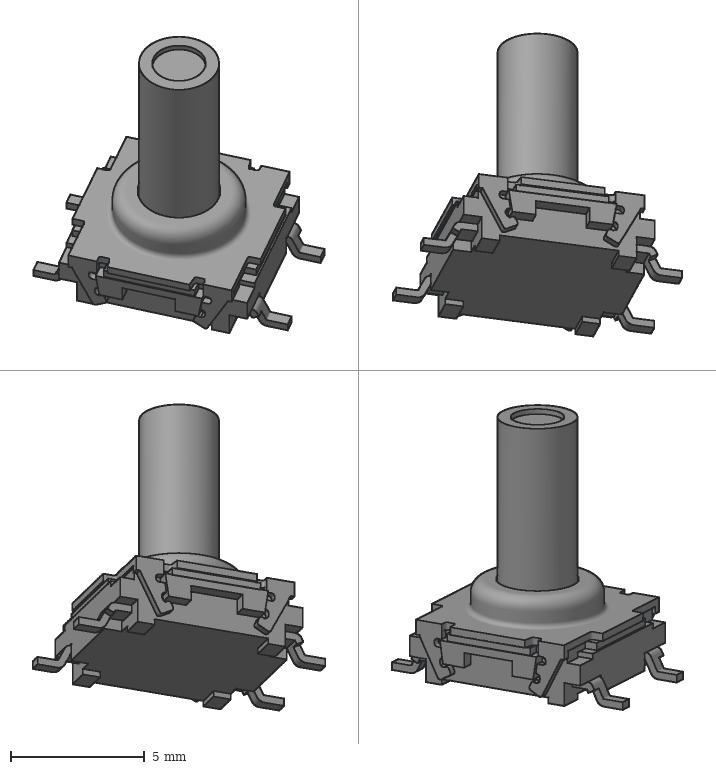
import cadquery as cq
import math

total_height = 10.1
foot_bottom = 0.08
body_bottom = 0.3
corner_notch_top = 0.99
ledge_top = 1.79
body_top = 2.0
cover_bottom = 2.29
cover_thickness = 0.3
cover_top = cover_bottom + cover_thickness
boss_top = 3.76

body_half_x = 7.4 / 2
body_half_y = 3.15
core_half_x = 3.13
ledge_start_y = 2.23
ledge_relief_depth = 0.12
ledge_relief_width = 0.13
corner_notch_x = 3.0
corner_notch_y = 1.62
foot_inner_x = 2.3
foot_inner_y = 2.14
cross_half_length = 3.62
cross_half_width = 1.8

catch_half_y = 3.67
catch_top_half = 2.09
catch_bottom_half = 1.95
catch_bottom = 1.09
catch_recess_half = 1.04
catch_recess_top = 1.68

cover_half_x = 3.21
cover_half_y = 3.52
tongue_reach = body_half_x
side_tongue_half = 1.5
end_tongue_tip_half = 1.62
end_tongue_root_half = 1.68
leg_inner_x = 2.09
leg_inner_y = cover_half_y - cover_thickness
corner_radius = 0.1
leg_shoulder_z = 2.02
relief_slot_end_x = 2.41
relief_slot_radius = 0.15

lead_tip_x = 5.0
lead_thickness = 0.3
lead_inner_y = 1.76
lead_narrow_width = 0.48
lead_wide_width = 0.81
lead_slope = math.radians(63)
lead_knee_x = 3.82
lead_inner_bend = 0.05
lead_lower_bend = lead_inner_bend + lead_thickness
lead_upper_bend = 0.27
lead_wide_drop = 0.3

boss_radius = 5.0 / 2
boss_top_fillet = 0.5
boss_base_flare = 0.2
boss_bore_radius = 3.1 / 2
stem_radius = 3.0 / 2
stem_recess_radius = 2.0 / 2
stem_recess_depth = 0.2

SIGNS = (-1, 1)


def block(x_range, y_range, z_range):
    """Box between the given limits along each axis."""
    spans = (x_range, y_range, z_range)
    sizes = [high - low for low, high in spans]
    return cq.Workplane("XY").box(*sizes, centered=False).translate(tuple(low for low, high in spans))


def centred_block(half_x, half_y, z_range):
    return block((-half_x, half_x), (-half_y, half_y), z_range)


def mirrored_pair(shape, plane):
    return shape.union(shape.mirror(plane))


def four_corners(shape):
    """Copies of a shape in all four XY quadrants."""
    return mirrored_pair(mirrored_pair(shape, "YZ"), "XZ")


def front_extrusion(sketch, y_near, y_far):
    """Extrude an XZ sketch so that it fills y_near to y_far on the +Y side."""
    return sketch.extrude(-(y_far - y_near)).translate((0, y_near, 0))


def fillet_near(shape, points, radius):
    """Fillet the edges whose midpoints lie nearest to the given points."""
    for point in points:
        shape = shape.edges(cq.NearestToPointSelector(point)).fillet(radius)
    return shape


def make_body():
    body = centred_block(body_half_x, body_half_y, (body_bottom, body_top))

    ledge_cut = block(
        (core_half_x, body_half_x), (ledge_start_y, body_half_y), (ledge_top, body_top)
    )
    ledge_relief = block(
        (core_half_x - ledge_relief_depth, core_half_x),
        (ledge_start_y, ledge_start_y + ledge_relief_width),
        (ledge_top, body_top),
    )
    ledge_cut = ledge_cut.union(ledge_relief)
    corner_cut = block(
        (corner_notch_x, body_half_x), (corner_notch_y, body_half_y), (body_bottom, corner_notch_top)
    )
    foot = block(
        (foot_inner_x, corner_notch_x), (foot_inner_y, body_half_y), (foot_bottom, body_bottom)
    )
    body = body.cut(four_corners(ledge_cut)).cut(four_corners(corner_cut)).union(four_corners(foot))

    pad_heights = (body_top, cover_bottom)
    body = body.union(centred_block(core_half_x, body_half_y, pad_heights))
    body = body.union(centred_block(cross_half_length, cross_half_width, pad_heights))
    return body.union(centred_block(cross_half_width, cross_half_length, pad_heights))


def make_catches():
    outline = cq.Workplane("XZ").polyline([
        (-catch_top_half, body_top),
        (catch_top_half, body_top),
        (catch_bottom_half, catch_bottom),
        (-catch_bottom_half, catch_bottom),
    ]).close()
    catch = front_extrusion(outline, body_half_y, catch_half_y)
    recess = block(
        (-catch_recess_half, catch_recess_half),
        (body_half_y, catch_half_y),
        (catch_bottom, catch_recess_top),
    )
    return mirrored_pair(catch.cut(recess), "XZ")


def make_cover_plate():
    heights = (cover_bottom, cover_top)
    plate = centred_block(cover_half_x, cover_half_y, heights)
    plate = plate.union(centred_block(tongue_reach, side_tongue_half, heights))
    plate = plate.union(centred_block(end_tongue_root_half, tongue_reach, heights))

    relief = cq.Workplane("XY").workplane(offset=cover_bottom).polyline([
        (end_tongue_root_half, leg_inner_y),
        (leg_inner_x, leg_inner_y),
        (leg_inner_x, tongue_reach),
        (end_tongue_tip_half, tongue_reach),
    ]).close().extrude(cover_thickness)
    relief = relief.edges("|Z and <Y").fillet(corner_radius)
    plate = plate.cut(four_corners(relief))

    mid_z = (cover_bottom + cover_top) / 2
    tongue_corners = [
        (x * cover_half_x, y * side_tongue_half, mid_z) for x in SIGNS for y in SIGNS
    ]
    return fillet_near(plate, tongue_corners, corner_radius)


def make_clip_legs():
    """Slanted legs folded down from the cover, each ending in a hooked foot."""
    shoulder = (3.07, leg_shoulder_z)
    heel = (2.21, 0.37)
    toe = (1.68, 0.66)
    hook_tip = (1.82, 0.98)
    hook_root = (2.0, 0.92)
    bay_side = (2.17, 1.13)
    bay_top = (1.99, 1.31)

    outline = (
        cq.Workplane("XZ")
        .moveTo(leg_inner_x, cover_bottom)
        .lineTo(cover_half_x, cover_bottom)
        .lineTo(cover_half_x, leg_shoulder_z)
        .lineTo(*shoulder)
        .lineTo(*heel)
        .lineTo(*toe)
        .lineTo(*hook_tip)
        .lineTo(*hook_root)
        .threePointArc(bay_side, bay_top)
        .lineTo(leg_inner_x, body_top)
        .close()
    )
    leg = front_extrusion(outline, leg_inner_y, cover_half_y)
    mid_y = (leg_inner_y + cover_half_y) / 2
    rounded_corners = [(x, mid_y, z) for x, z in (heel, toe, hook_tip)]
    leg = fillet_near(leg, rounded_corners, corner_radius)

    slot = block(
        (catch_bottom_half, relief_slot_end_x),
        (leg_inner_y, cover_half_y),
        (catch_recess_top, body_top),
    ).edges("|Y and >X").fillet(relief_slot_radius)
    return four_corners(leg.cut(slot))


def make_leads():
    top_z = corner_notch_top
    slope_run = (top_z - lead_thickness) / math.tan(lead_slope)
    corner_shift = lead_thickness * math.tan(lead_slope / 2)
    upper_outer = (lead_knee_x, top_z)
    lower_inner = (lead_knee_x + slope_run, lead_thickness)
    upper_inner = (lead_knee_x - corner_shift, top_z - lead_thickness)
    lower_outer = (lower_inner[0] - corner_shift, 0)
    outline = cq.Workplane("XZ").polyline([
        (corner_notch_x, top_z),
        upper_outer,
        lower_inner,
        (lead_tip_x, lead_thickness),
        (lead_tip_x, 0),
        lower_outer,
        upper_inner,
        (corner_notch_x, top_z - lead_thickness),
    ]).close()
    lead = front_extrusion(outline, lead_inner_y, lead_inner_y + lead_wide_width)
    mid_y = lead_inner_y + lead_wide_width / 2
    bends = (
        (upper_outer, lead_upper_bend),
        (lower_outer, lead_lower_bend),
        (lower_inner, lead_inner_bend),
    )
    for (x, z), radius in bends:
        lead = fillet_near(lead, [(x, mid_y, z)], radius)

    cut_x = lead_knee_x + lead_wide_drop / math.tan(lead_slope)
    cut_length = 2.02
    narrowing = block(
        (0, cut_length),
        (lead_inner_y + lead_narrow_width, lead_inner_y + lead_wide_width),
        (-cut_length / 2, cut_length / 2),
    )
    narrowing = narrowing.rotate((0, 0, 0), (0, 1, 0), math.degrees(lead_slope))
    narrowing = narrowing.translate((cut_x, 0, top_z - lead_wide_drop))
    return four_corners(lead.cut(narrowing))


def make_boss_and_stem():
    diagonal = math.sqrt(0.5)
    flare_radius = boss_radius + boss_base_flare
    flare_top = cover_top + boss_base_flare
    shoulder_radius = boss_radius - boss_top_fillet
    shoulder_z = boss_top - boss_top_fillet
    boss = (
        cq.Workplane("XZ")
        .moveTo(boss_bore_radius, cover_top)
        .lineTo(flare_radius, cover_top)
        .threePointArc(
            (flare_radius - boss_base_flare * diagonal, flare_top - boss_base_flare * diagonal),
            (boss_radius, flare_top),
        )
        .lineTo(boss_radius, shoulder_z)
        .threePointArc(
            (shoulder_radius + boss_top_fillet * diagonal, shoulder_z + boss_top_fillet * diagonal),
            (shoulder_radius, boss_top),
        )
        .lineTo(boss_bore_radius, boss_top)
        .close()
        .revolve(360, (0, 0, 0), (0, 1, 0))
    )
    stem = (
        cq.Workplane("XY").workplane(offset=cover_top)
        .circle(stem_radius).extrude(total_height - cover_top)
        .faces(">Z").workplane()
        .circle(stem_recess_radius).cutBlind(-stem_recess_depth)
    )
    return boss.union(stem)


result = (
    make_body()
    .union(make_catches())
    .union(make_cover_plate())
    .union(make_clip_legs())
    .union(make_leads())
    .union(make_boss_and_stem())
)